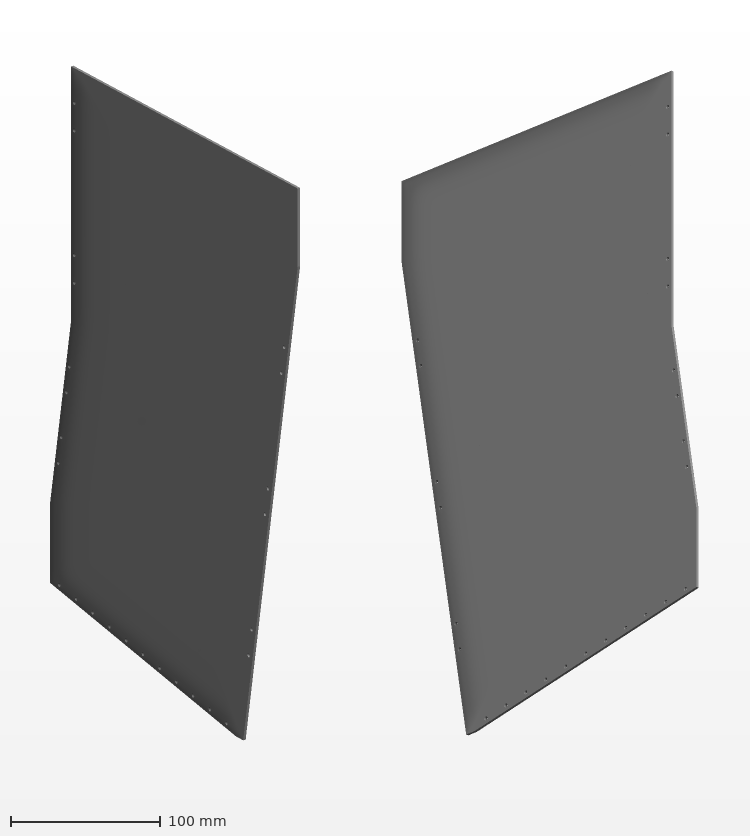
import cadquery as cq
import math

width = 290.7
height = 419.0
thickness = 2.0
skew = math.radians(10)
upper_left_x = 24.7
left_bend_z = 235.0
right_bend_z = 362.5
lower_left_z = 38.5

hole_diameter = 2.75
bottom_hole_count = 11
bottom_row_length = 199.5
hole_pitch = bottom_row_length / (bottom_hole_count - 1)
edge_inset = 3.8
right_inset = 4.5
wide_pair_spacing = 109.8
narrow_pair_spacing = 55.0

left_first = 25.0
slant_first = 33.0
right_first = 65.0
bottom_first = 10.5

left_foot_z = left_bend_z - upper_left_x / math.tan(skew)
right_foot_x = width - right_bend_z * math.tan(skew)
bottom_flat_x = lower_left_z / math.tan(skew)

top_left = (upper_left_x, height)
left_bend = (upper_left_x, left_bend_z)
right_bend = (width, right_bend_z)
lower_left = (0, lower_left_z)

outline = [
    top_left,
    (width, height),
    right_bend,
    (right_foot_x, 0),
    (bottom_flat_x, 0),
    lower_left,
    (0, left_foot_z),
    left_bend,
]


def pair_distances(first, spacing, pair_count):
    """Distances along an edge for evenly spaced pairs of holes."""
    return [first + pair * spacing + hole * hole_pitch for pair in range(pair_count) for hole in range(2)]


def holes_along(start, direction, inward, inset, distances):
    """Hole centres offset inward from the edge that leaves start along direction."""
    return [
        (
            start[0] + distance * direction[0] + inset * inward[0],
            start[1] + distance * direction[1] + inset * inward[1],
        )
        for distance in distances
    ]


cos_skew = math.cos(skew)
sin_skew = math.sin(skew)
down = (0, -1)
right = (1, 0)
down_slant = (-sin_skew, -cos_skew)
slant_right = (cos_skew, -sin_skew)
slant_left = (-cos_skew, sin_skew)
slant_up = (sin_skew, cos_skew)

left_distances = pair_distances(left_first, wide_pair_spacing, 2)
slant_distances = pair_distances(slant_first, narrow_pair_spacing, 2)
right_distances = pair_distances(right_first, wide_pair_spacing, 3)
bottom_distances = [bottom_first + i * hole_pitch for i in range(bottom_hole_count)]

hole_centres = (
    holes_along(top_left, down, right, edge_inset, left_distances)
    + holes_along(left_bend, down_slant, slant_right, edge_inset, slant_distances)
    + holes_along(right_bend, down_slant, slant_left, right_inset, right_distances)
    + holes_along(lower_left, slant_right, slant_up, edge_inset, bottom_distances)
)

sheet = cq.Workplane("XZ").polyline(outline).close().extrude(thickness / 2, both=True)
holes = cq.Workplane("XZ").pushPoints(hole_centres).circle(hole_diameter / 2).extrude(thickness, both=True)

result = sheet.cut(holes)